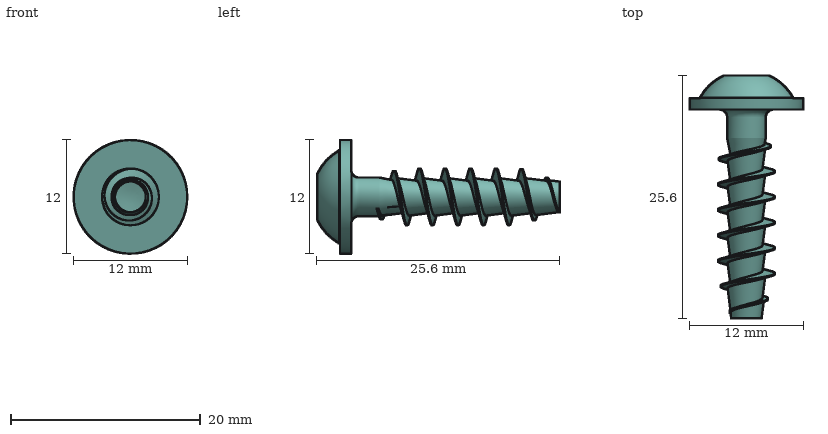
import cadquery as cq
import math


head_height = 3.6
flange_diameter = 12.0
flange_thickness = 1.2
flange_edge_radius = 0.08
dome_sphere_radius = 5.65
dome_flat_radius = 2.4
dome_lip_height = 0.08

total_length = 25.6
shank_radius = 2.05
shank_length = 3.0
neck_fillet_radius = 0.8

core_radius = 1.7
runout_length = 1.8
core_depth = 5.9
tip_radius = 1.6
dimple_radius = 1.5
dimple_depth = 0.13

pitch = 2.7
thread_origin = 3.85
crest_radius = 3.0
crest_width = 0.1
flank_angle = 12.5
first_turn = -0.4
start_radius = 2.28
lead_in_turns = 1.0
fade_end_turn = 6.7
lead_out_turns = 1.5
least_thread_height = 0.03

root_high_radius = 2.0
root_low_radius = 1.72
root_taper = 0.12

turn_count = 8
points_per_turn = 24
tip_depth = total_length - head_height


def revolve_profile(profile):
    """Turn a closed profile drawn in XY about the Y axis."""
    return profile.close().revolve(360, (0, 0, 0), (0, 1, 0))


def make_head():
    flange = cq.Workplane("XZ").circle(flange_diameter / 2).extrude(-flange_thickness)
    flange = flange.edges().fillet(flange_edge_radius)

    dome_center = head_height - math.sqrt(dome_sphere_radius**2 - dome_flat_radius**2)
    dome_base = flange_thickness + dome_lip_height
    dome_base_radius = math.sqrt(dome_sphere_radius**2 - (dome_base - dome_center) ** 2)
    dome_mid_height = (dome_base + head_height) / 2
    dome_mid_radius = math.sqrt(dome_sphere_radius**2 - (dome_mid_height - dome_center) ** 2)
    dome = revolve_profile(
        cq.Workplane("XY")
        .moveTo(0, flange_thickness / 2)
        .lineTo(dome_base_radius, flange_thickness / 2)
        .lineTo(dome_base_radius, dome_base)
        .threePointArc((dome_mid_radius, dome_mid_height), (dome_flat_radius, head_height))
        .lineTo(0, head_height)
    )
    return flange.union(dome)


def make_shank():
    """Neck fillet, plain shank, run-out cone, and cylindrical core."""
    return revolve_profile(
        cq.Workplane("XY")
        .moveTo(0, flange_thickness / 2)
        .lineTo(shank_radius + neck_fillet_radius, flange_thickness / 2)
        .lineTo(shank_radius + neck_fillet_radius, 0)
        .radiusArc((shank_radius, -neck_fillet_radius), -neck_fillet_radius)
        .lineTo(shank_radius, -shank_length)
        .lineTo(core_radius, -shank_length - runout_length)
        .lineTo(core_radius, -core_depth)
        .lineTo(0, -core_depth)
    )


def helix_depth(turn):
    return thread_origin + pitch * turn


def helix_point(turn, offset, radius):
    """Point on the right-hand helix, shifted toward the tip by offset."""
    angle = 2 * math.pi * turn
    return cq.Vector(radius * math.cos(angle), -helix_depth(turn) - offset, radius * math.sin(angle))


def thread_corners(turn):
    """Thread section: root on the head side, two crest corners, root on the tip side."""
    core_limit = tip_radius + root_taper * (tip_depth - helix_depth(turn))
    root_high = min(root_high_radius, core_limit)
    root_low = min(root_low_radius, core_limit)

    rise = (turn - first_turn) / lead_in_turns
    fade = (fade_end_turn - turn) / lead_out_turns
    rising_radius = start_radius + (crest_radius - start_radius) * rise
    fading_radius = tip_radius + (crest_radius - tip_radius) * fade
    crest = min(crest_radius, rising_radius, max(fading_radius, root_high + least_thread_height))

    half_crest = crest_width / 2
    flank_run = math.tan(math.radians(flank_angle))
    return [
        helix_point(turn, -half_crest - (crest - root_low) * flank_run, root_low),
        helix_point(turn, -half_crest, crest),
        helix_point(turn, half_crest, crest),
        helix_point(turn, half_crest + (crest - root_high) * flank_run, root_high),
    ]


def helical_edges(start_turn):
    """One turn of each of the four thread corners."""
    sections = [thread_corners(start_turn + i / points_per_turn) for i in range(points_per_turn + 1)]
    return [cq.Edge.makeSpline(list(path)) for path in zip(*sections)]


def end_faces(turn, head_side_edge):
    """Radial cut through one pitch, and the helical floor from the axis to the open root edge."""
    outline = [
        helix_point(turn, 0, 0),
        *thread_corners(turn),
        thread_corners(turn + 1)[0],
        helix_point(turn + 1, 0, 0),
    ]
    axis_edge = cq.Edge.makeLine(outline[0], outline[-1])
    radial_cut = cq.Face.makeFromWires(cq.Wire.makePolygon(outline, close=True))
    return [radial_cut, cq.Face.makeRuledSurface(axis_edge, head_side_edge)]


def make_threaded_rod():
    """Thread and core as one helical skin, closed turn by turn."""
    turns = [helical_edges(first_turn + i) for i in range(turn_count + 1)]
    faces = []
    for edges, next_edges in zip(turns, turns[1:]):
        strip = edges + next_edges[:1]
        faces += [cq.Face.makeRuledSurface(a, b) for a, b in zip(strip, strip[1:])]
    faces += end_faces(first_turn, turns[0][0])
    faces += end_faces(first_turn + turn_count, turns[-1][0])
    rod = cq.Workplane("XY").newObject([cq.Solid.makeSolid(cq.Shell.makeShell(faces)).fix()])

    tip_cutter = cq.Workplane("XZ", origin=(0, -tip_depth, 0)).circle(flange_diameter).extrude(total_length)
    return rod.cut(tip_cutter, clean=False)


def make_tip_dimple():
    """Shallow spherical hollow in the tip face."""
    sphere_radius = (dimple_radius**2 + dimple_depth**2) / (2 * dimple_depth)
    return revolve_profile(
        cq.Workplane("XY")
        .moveTo(0, -tip_depth + dimple_depth)
        .radiusArc((dimple_radius, -tip_depth), sphere_radius)
        .lineTo(0, -tip_depth)
    )


body = make_head().union(make_shank())
result = body.union(make_threaded_rod(), clean=False).cut(make_tip_dimple(), clean=False)